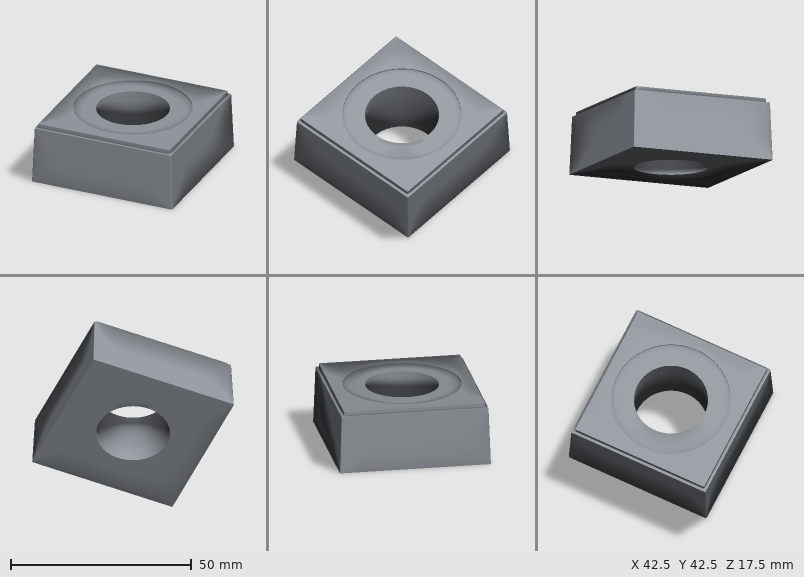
import cadquery as cq
import math

base_width = 42.5
total_height = 17.5

plate_width = 39.7
plate_height = 1.2
plate_corner_radius = 0.2

body_height = total_height - plate_height
draft_angle = 2.0
body_corner_radius = 0.3
body_top_width = base_width - 2 * body_height * math.tan(math.radians(draft_angle))

bore_diameter = 20.5
recess_diameter = 33.0
recess_depth = 0.3


def rounded_square(width, corner_radius):
    """Centred square outline with rounded corners."""
    return cq.Sketch().rect(width, width).vertices().fillet(corner_radius)


def tapered_body():
    """Square frustum with the same corner radius from bottom to top."""
    top_position = cq.Location(cq.Vector(0, 0, body_height))
    bottom_outline = rounded_square(base_width, body_corner_radius)
    top_outline = rounded_square(body_top_width, body_corner_radius).moved(top_position)
    return cq.Workplane("XY").placeSketch(bottom_outline, top_outline).loft(ruled=True)


def top_plate():
    """Straight-sided plate resting on the body, leaving a narrow ledge around it."""
    return (
        cq.Workplane("XY")
        .workplane(offset=body_height)
        .placeSketch(rounded_square(plate_width, plate_corner_radius))
        .extrude(plate_height)
    )


def through_bore():
    """Cylinder that removes the central hole over the full height."""
    return cq.Workplane("XY").circle(bore_diameter / 2).extrude(total_height)


def top_recess():
    """Shallow disc that sinks a flat seat around the bore."""
    return (
        cq.Workplane("XY")
        .workplane(offset=total_height - recess_depth)
        .circle(recess_diameter / 2)
        .extrude(recess_depth)
    )


result = tapered_body().union(top_plate()).cut(through_bore()).cut(top_recess())